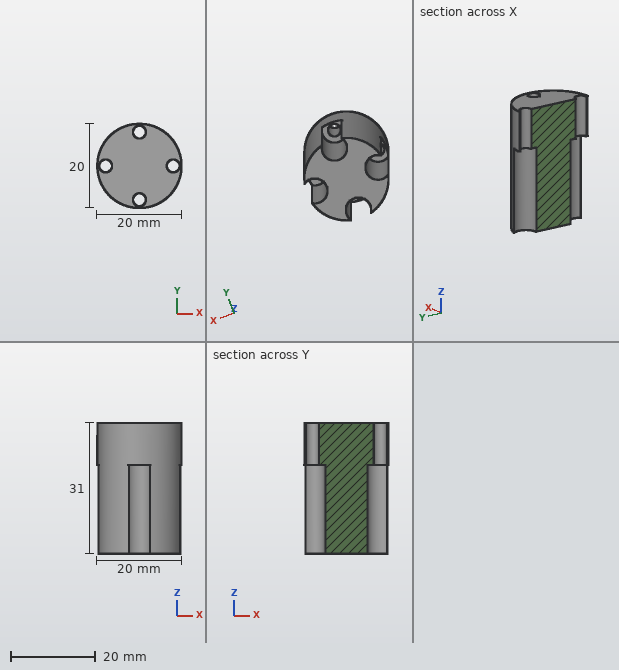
import cadquery as cq

body_diameter = 20.0
body_height = 31.0

screw_count = 4
pitch_radius = 8.0
screw_hole_diameter = 3.0

head_thickness = 10.0
bore_diameter = 6.0
bore_height = body_height - head_thickness


def make_body():
    return cq.Workplane("XY").circle(body_diameter / 2).extrude(body_height)


def make_screw_cylinders(diameter, height):
    """Cylinders rising from the base at every screw position."""
    return (
        cq.Workplane("XY")
        .polarArray(pitch_radius, 0, 360, screw_count)
        .circle(diameter / 2)
        .extrude(height)
    )


screw_holes = make_screw_cylinders(screw_hole_diameter, body_height)
side_bores = make_screw_cylinders(bore_diameter, bore_height)

result = make_body().cut(screw_holes).cut(side_bores)